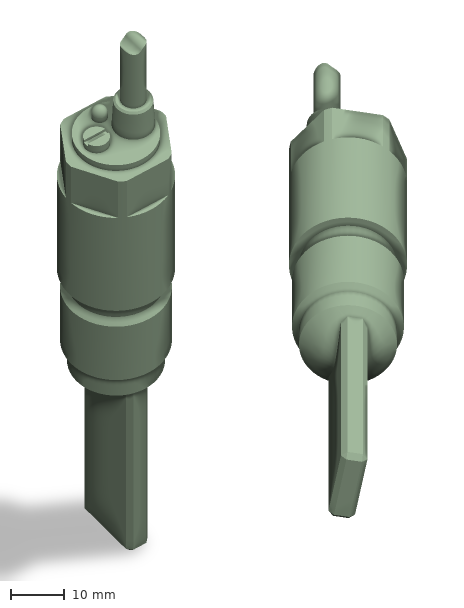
import cadquery as cq

body_diameter = 22.1
neck_diameter = 18.3
collar_diameter = 20.9
flange_diameter = 16.5
flange_top = 106.6
hex_top = 105.0
hex_bottom = 95.2
body_bottom = 70.0
collar_top = 66.4
collar_bottom = 49.3
collar_chamfer = (collar_diameter - neck_diameter) / 2
cone_top = 45.1
cone_tip = cone_top - neck_diameter / 2
hex_across_flats = 19.9

blade_width = 15.1
blade_thickness = 5.0
blade_chamfer = 1.0
blade_top = cone_top

cable_y = 4.0
cable_diameter = 5.0
cable_top = 129.2
cable_wave_height = 0.6
sleeve_top = 113.4
sleeve_top_diameter = 7.5
sleeve_base_diameter = 8.1
sleeve_edge_chamfer = 0.4

lamp_x = -5.2
lamp_diameter = 3.1
lamp_dome_base = 107.9
screw_y = -4.5
screw_diameter = 5.0
screw_top = 108.5
slot_width = 1.2
slot_depth = 0.6


def cylinder(diameter, bottom, top, x=0, y=0):
    """Upright cylinder between two heights."""
    return cq.Workplane("XY", origin=(x, y, bottom)).circle(diameter / 2).extrude(top - bottom)


def make_body():
    """Turned profile, topped by a hexagon with rounded corners and flats on the X sides."""
    body_radius = body_diameter / 2
    neck_radius = neck_diameter / 2
    collar_radius = collar_diameter / 2
    profile = [
        (0, cone_tip),
        (neck_radius, cone_top),
        (neck_radius, collar_bottom),
        (collar_radius, collar_bottom + collar_chamfer),
        (collar_radius, collar_top - collar_chamfer),
        (neck_radius, collar_top),
        (neck_radius, body_bottom),
        (body_radius, body_bottom),
        (body_radius, hex_bottom),
        (0, hex_bottom),
    ]
    lower = cq.Workplane("XZ").polyline(profile).close().revolve(360, (0, 0, 0), (0, 1, 0))
    hex_height = hex_top - hex_bottom
    hexagon = (
        cq.Workplane("XY", origin=(0, 0, hex_bottom))
        .polygon(6, hex_across_flats, circumscribed=True)
        .extrude(hex_height)
        .intersect(cylinder(body_diameter, hex_bottom, hex_top))
    )
    return lower.union(hexagon).union(cylinder(flange_diameter, hex_top, flange_top))


def make_blade():
    """Flat bar with its long edges and lower end chamfered."""
    return (
        cq.Workplane("XY")
        .rect(blade_width, blade_thickness)
        .extrude(blade_top)
        .edges("|Z or <Z")
        .chamfer(blade_chamfer)
        .intersect(cylinder(neck_diameter, 0, blade_top))
    )


def make_sleeve():
    """Strain-relief cone around the cable."""
    return (
        cq.Workplane("XY", origin=(0, cable_y, flange_top))
        .circle(sleeve_base_diameter / 2)
        .workplane(offset=sleeve_top - flange_top)
        .circle(sleeve_top_diameter / 2)
        .loft()
        .faces(">Z")
        .chamfer(sleeve_edge_chamfer)
    )


def make_cable():
    """Cable whose end is a break line: a hump on +Y and a hollow on -Y."""
    radius = cable_diameter / 2
    wave_middle = cable_top - cable_wave_height
    outline = (
        cq.Workplane("YZ", origin=(-radius, cable_y, 0))
        .moveTo(-radius, flange_top)
        .lineTo(-radius, wave_middle)
        .threePointArc((-radius / 2, wave_middle - cable_wave_height), (0, wave_middle))
        .threePointArc((radius / 2, cable_top), (radius, wave_middle))
        .lineTo(radius, flange_top)
        .close()
        .extrude(cable_diameter)
    )
    return cylinder(cable_diameter, flange_top, cable_top, y=cable_y).intersect(outline)


def make_lamp():
    """Short post with a hemispherical top."""
    dome = cq.Workplane("XY", origin=(lamp_x, 0, lamp_dome_base)).sphere(lamp_diameter / 2)
    return cylinder(lamp_diameter, flange_top, lamp_dome_base, x=lamp_x).union(dome)


def make_screw():
    """Cylindrical head with a straight slot along Y."""
    slot = (
        cq.Workplane("XY", origin=(0, screw_y, screw_top - slot_depth))
        .rect(slot_width, screw_diameter)
        .extrude(slot_depth)
    )
    return cylinder(screw_diameter, flange_top, screw_top, y=screw_y).cut(slot)


result = (
    make_body()
    .union(make_blade())
    .union(make_sleeve())
    .union(make_cable())
    .union(make_lamp())
    .union(make_screw())
)